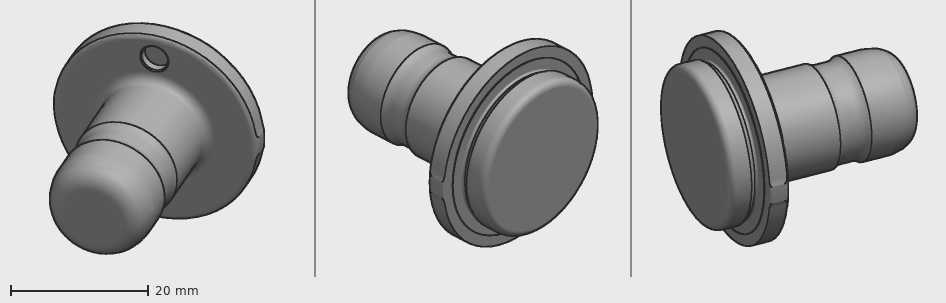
import cadquery as cq
import math

overall_length = 33.3

nose_flat_radius = 4.65
nose_round_radius, nose_round_end = 7.35, 1.83
nose_cone_radius, nose_cone_end = 7.6, 2.25
nose_end = 4.55

stem_radius = 8.0
groove_radius = 7.5
groove_start, groove_end = 8.52, 13.52
groove_ramp = 1.45
stem_fillet = 1.5

flange_front = 25.17
flange_thickness = 3.25
flange_back = flange_front + flange_thickness
flange_diameter = 31.6
flange_radius = flange_diameter / 2
pad_radius = 16.0
pad_half_width = 1.45
pad_blend_half_width = 2.65
front_round = 1.0
back_round = 0.23
seat_radius = 14.0
seat_height = 0.1

head_radius = 12.5
head_round = 1.1
head_front = 29.85
relief_radius = 12.02
relief_start, relief_end = 28.8, 29.07
relief_fillet = relief_start - flange_back - seat_height

hole_offset = 12.0
hole_radius = 2.03
hole_mouth_chamfer = 0.2
hole_depth = 1.5


def point_on_circle(center, radius, angle):
    """Point on a circle at the given angle in degrees."""
    a = math.radians(angle)
    return (center[0] + radius * math.cos(a), center[1] + radius * math.sin(a))


def turned_body():
    """Stem, flange disc and head revolved about Y; the disc reaches out to the pads."""
    fillet_center = (stem_radius + stem_fillet, flange_front - stem_fillet)
    front_center = (pad_radius - front_round, flange_front + front_round)
    back_center = (pad_radius - back_round, flange_back - back_round)
    relief_center = (relief_radius + relief_fillet, relief_start)
    head_center = (head_radius - head_round, overall_length - head_round)
    return (
        cq.Workplane("XY")
        .lineTo(nose_flat_radius, 0)
        .tangentArcPoint((nose_round_radius, nose_round_end), relative=False)
        .lineTo(nose_cone_radius, nose_cone_end)
        .threePointArc(shoulder_mid(), (stem_radius, nose_end))
        .lineTo(stem_radius, groove_start)
        .threePointArc(ramp_mid(groove_start, 1), (groove_radius, groove_start + groove_ramp))
        .lineTo(groove_radius, groove_end - groove_ramp)
        .threePointArc(ramp_mid(groove_end, -1), (stem_radius, groove_end))
        .lineTo(stem_radius, flange_front - stem_fillet)
        .threePointArc(point_on_circle(fillet_center, stem_fillet, 135), (fillet_center[0], flange_front))
        .lineTo(front_center[0], flange_front)
        .threePointArc(point_on_circle(front_center, front_round, -45), (pad_radius, front_center[1]))
        .lineTo(pad_radius, back_center[1])
        .threePointArc(point_on_circle(back_center, back_round, 45), (back_center[0], flange_back))
        .lineTo(seat_radius, flange_back)
        .lineTo(seat_radius, flange_back + seat_height)
        .lineTo(relief_center[0], flange_back + seat_height)
        .threePointArc(point_on_circle(relief_center, relief_fillet, 225), (relief_radius, relief_start))
        .lineTo(relief_radius, relief_end)
        .lineTo(head_radius, head_front)
        .lineTo(head_radius, head_center[1])
        .threePointArc(point_on_circle(head_center, head_round, 45), (head_center[0], overall_length))
        .lineTo(0, overall_length)
        .close()
        .revolve(360, (0, 0), (0, 1))
    )


def ramp_mid(edge, direction):
    """Middle of the groove ramp that starts at `edge` on the stem and runs along `direction`."""
    drop = stem_radius - groove_radius
    radius = (drop**2 + groove_ramp**2) / (2 * drop)
    half_angle = math.asin(groove_ramp / radius) / 2
    center = (groove_radius + radius, edge + direction * groove_ramp)
    return point_on_circle(center, radius, 180 + direction * math.degrees(half_angle))


def shoulder_mid():
    """Middle of the convex arc between the nose cone and the stem."""
    drop = stem_radius - nose_cone_radius
    run = nose_end - nose_cone_end
    radius = (drop**2 + run**2) / (2 * drop)
    half_angle = math.asin(run / radius) / 2
    return point_on_circle((stem_radius - radius, nose_end), radius, -math.degrees(half_angle))


def on_circle(radius, height):
    """X on a circle about the axis at the given Z height."""
    return math.sqrt(radius**2 - height**2)


def flange_outline():
    """Round flange prism with a low pad on each X side, blended tangentially into the rim."""
    pad_x = on_circle(pad_radius, pad_half_width)
    blend_x = on_circle(flange_radius, pad_blend_half_width)
    rim_mid = point_on_circle((0, 0), flange_radius, 45)
    pad_mid_height = pad_half_width / 2
    quarter = (
        cq.Workplane("XZ", origin=(0, flange_back, 0))
        .lineTo(0, flange_radius)
        .threePointArc(rim_mid, (blend_x, pad_blend_half_width))
        .tangentArcPoint((pad_x, pad_half_width), relative=False)
        .threePointArc((on_circle(pad_radius, pad_mid_height), pad_mid_height), (pad_radius, 0))
        .close()
        .extrude(flange_thickness)
    )
    half = quarter.union(quarter.mirror("YZ"))
    return half.union(half.mirror("XY")).clean()


def hole(height):
    """Blind hole cutter with a chamfered mouth, opening on the flange front."""
    mouth_radius = hole_radius + hole_mouth_chamfer
    return (
        cq.Workplane("XY")
        .lineTo(mouth_radius, 0)
        .lineTo(hole_radius, hole_mouth_chamfer)
        .lineTo(hole_radius, hole_depth)
        .lineTo(0, hole_depth)
        .close()
        .revolve(360, (0, 0), (0, 1))
        .translate((0, flange_front, height))
    )


body = turned_body()
rim_band = (
    cq.Workplane("XZ", origin=(0, flange_back, 0))
    .circle(pad_radius + front_round)
    .extrude(flange_thickness)
)
result = body.cut(rim_band.cut(flange_outline()))
for side in (1, -1):
    result = result.cut(hole(side * hole_offset))